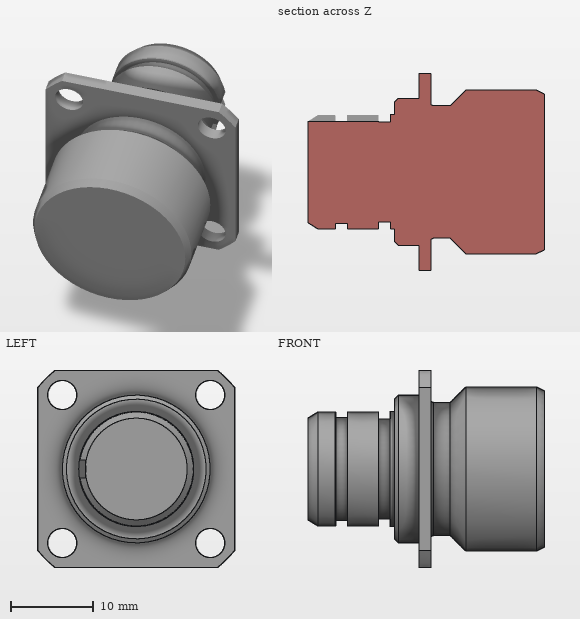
import cadquery as cq

total_length = 28.8
nose_chamfer_end = 1.25
front_groove_start, front_groove_end = 3.4, 4.8
rear_groove_start, rear_groove_end = 8.6, 10.0
shoulder_start = 10.5
plate_start = 13.5
plate_thickness = 1.5
neck_start = 15.3
cone_start, cone_end = 17.3, 19.2
tail_chamfer_length = 1.0

nose_radius = 6.2
plug_radius = 6.97
groove_edge_chamfer = 0.1
front_groove_radius = 6.28
rear_groove_radius = 6.1
collar_radius = 7.0
shoulder_radius = 9.0
shoulder_chamfer = 0.5
neck_radius = 8.1
neck_root_radius = 8.2
body_radius = 10.0
tail_radius = 9.5

plate_width = 24.0
plate_corner_radius = 15.55
hole_spacing = 18.0
hole_diameter = 3.5

keyway_width = 2.13
keyway_floor = 6.15

plate_end = plate_start + plate_thickness


def make_turned_body():
    """Revolve the stepped half profile about the X axis."""
    profile = [
        (0, 0),
        (0, nose_radius),
        (nose_chamfer_end, plug_radius),
        (front_groove_start - groove_edge_chamfer, plug_radius),
        (front_groove_start, plug_radius - groove_edge_chamfer),
        (front_groove_start, front_groove_radius),
        (front_groove_end, front_groove_radius),
        (front_groove_end, plug_radius),
        (rear_groove_start, plug_radius),
        (rear_groove_start, rear_groove_radius),
        (rear_groove_end, rear_groove_radius),
        (rear_groove_end, collar_radius),
        (shoulder_start, collar_radius),
        (shoulder_start, shoulder_radius - shoulder_chamfer),
        (shoulder_start + shoulder_chamfer, shoulder_radius),
        (plate_end, shoulder_radius),
        (plate_end, neck_root_radius),
        (neck_start, neck_radius),
        (cone_start, neck_radius),
        (cone_end, body_radius),
        (total_length - tail_chamfer_length, body_radius),
        (total_length, tail_radius),
        (total_length, 0),
    ]
    return cq.Workplane("XY").polyline(profile).close().revolve(360, (0, 0), (1, 0))


def make_plate():
    """Square plate with arc-trimmed corners and four mounting holes."""
    base = cq.Workplane("YZ", origin=(plate_start, 0, 0))
    square = base.rect(plate_width, plate_width).extrude(plate_thickness)
    disc = base.circle(plate_corner_radius).extrude(plate_thickness)
    holes = (
        base.rect(hole_spacing, hole_spacing, forConstruction=True)
        .vertices()
        .circle(hole_diameter / 2)
        .extrude(plate_thickness)
    )
    return square.intersect(disc).cut(holes)


def make_keyway():
    """Cutter running from the plug face into the rear groove."""
    depth = plug_radius - keyway_floor
    return cq.Workplane("XY").box(
        rear_groove_end, 2 * depth, keyway_width, centered=(False, False, True)
    ).translate((0, keyway_floor, 0))


result = make_turned_body().cut(make_keyway()).union(make_plate())